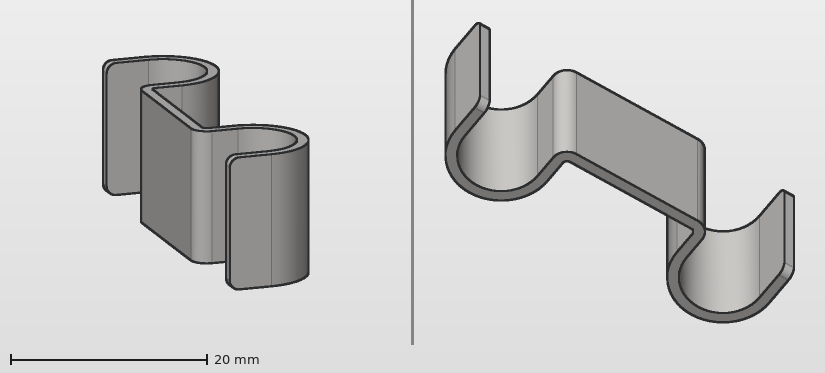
import cadquery as cq

length = 38.8
width = 14.0
thickness = 1.2
hook_outer_radius = 5.7
leg_length = 4.5
bend_inner_radius = 0.5
corner_radius = 1.0

hook_inner_radius = hook_outer_radius - thickness
bend_outer_radius = bend_inner_radius + thickness
hook_x = length / 2 - hook_outer_radius
hook_y = leg_length
inner_leg_x = hook_x - hook_outer_radius
inner_leg_hook_x = hook_x - hook_inner_radius
bend_x = inner_leg_hook_x - bend_outer_radius
bend_y = bend_outer_radius


def half_strip():
    """Right half of the bent strip, from the middle plane to the free leg."""
    profile = (
        cq.Workplane("XY").workplane(offset=-width / 2)
        .lineTo(bend_x, 0)
        .radiusArc((inner_leg_hook_x, bend_y), -bend_outer_radius)
        .lineTo(inner_leg_hook_x, hook_y)
        .threePointArc((hook_x, hook_y + hook_inner_radius), (hook_x + hook_inner_radius, hook_y))
        .lineTo(hook_x + hook_inner_radius, 0)
        .lineTo(length / 2, 0)
        .lineTo(length / 2, hook_y)
        .threePointArc((hook_x, hook_y + hook_outer_radius), (inner_leg_x, hook_y))
        .lineTo(inner_leg_x, bend_y)
        .radiusArc((bend_x, thickness), bend_inner_radius)
        .lineTo(0, thickness)
        .close()
    )
    strip = profile.extrude(width)
    return round_leg_corners(strip)


def round_leg_corners(strip):
    """Round the two corners at the end of the free leg."""
    leg_center_x = length / 2 - thickness / 2
    reach = thickness
    leg_end = cq.selectors.BoxSelector(
        (leg_center_x - reach, -reach, -width),
        (leg_center_x + reach, reach, width),
    )
    return strip.edges("|X").edges(leg_end).fillet(corner_radius)


right_half = half_strip()
result = right_half.union(right_half.mirror("YZ")).clean()